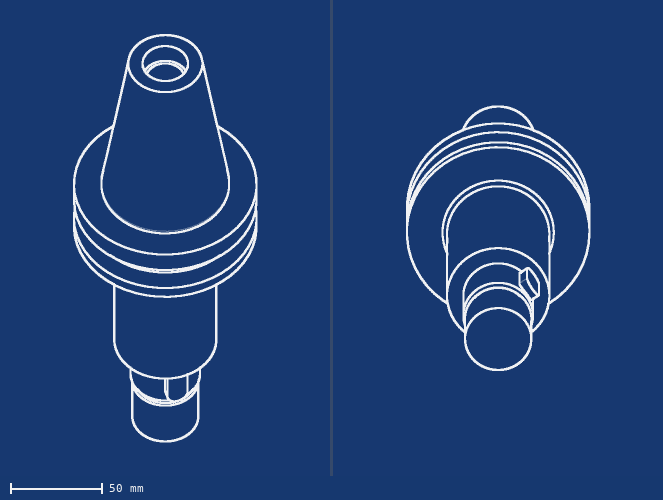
import cadquery as cq

total_height = 302.8
pilot_top = 31.0
spigot_bottom = 36.3
body_bottom = 66.0
flange_bottom = 163.0
flange_top = 199.2
taper_bottom = 201.0

pilot_radius = 18.2
relief_radius = 16.5
spigot_radius = 19.0
body_diameter = 56.0
body_radius = body_diameter / 2
flange_radius = 50.0
taper_large_diameter = 70.0
taper_large_radius = taper_large_diameter / 2
taper_small_radius = 20.3

lower_rim_height = 7.5
groove_flank_height = 4.5
groove_floor_height = 6.5
groove_floor_radius = 42.7
collar_size = 2.5

counterbore_radius = 12.5
counterbore_depth = 12.7
bore_radius = 10.5
bore_depth = 60.5

key_width = 11.5
key_length = 26.0
key_outer_x = 23.3
key_root_x = 13.5


def make_turned_body():
    """Revolve the half outline of the holder around Z."""
    groove_lower_edge = flange_bottom + lower_rim_height
    groove_floor_bottom = groove_lower_edge + groove_flank_height
    groove_floor_top = groove_floor_bottom + groove_floor_height
    groove_upper_edge = groove_floor_top + groove_flank_height
    outline = [
        (0, 0),
        (pilot_radius, 0),
        (pilot_radius, pilot_top),
        (relief_radius, pilot_top),
        (relief_radius, spigot_bottom),
        (spigot_radius, spigot_bottom),
        (spigot_radius, body_bottom),
        (body_radius, body_bottom),
        (body_radius, flange_bottom - collar_size),
        (body_radius + collar_size, flange_bottom),
        (flange_radius, flange_bottom),
        (flange_radius, groove_lower_edge),
        (groove_floor_radius, groove_floor_bottom),
        (groove_floor_radius, groove_floor_top),
        (flange_radius, groove_upper_edge),
        (flange_radius, flange_top),
        (taper_large_radius, flange_top),
        (taper_large_radius, taper_bottom),
        (taper_small_radius, total_height),
        (0, total_height),
    ]
    return cq.Workplane("XZ").polyline(outline).close().revolve(360, (0, 0), (0, 1))


def make_key():
    """Key standing along the spigot, its upper end touching the body shoulder."""
    key_center_z = body_bottom - key_length / 2
    return (
        cq.Workplane("YZ", origin=(key_root_x, 0, key_center_z))
        .slot2D(key_length, key_width, 90)
        .extrude(key_outer_x - key_root_x)
    )


def cut_bore(holder):
    """Cut the blind stepped bore downward from the small end."""
    return (
        holder.faces(">Z")
        .workplane()
        .cboreHole(2 * bore_radius, 2 * counterbore_radius, counterbore_depth, bore_depth)
    )


result = cut_bore(make_turned_body().union(make_key()))